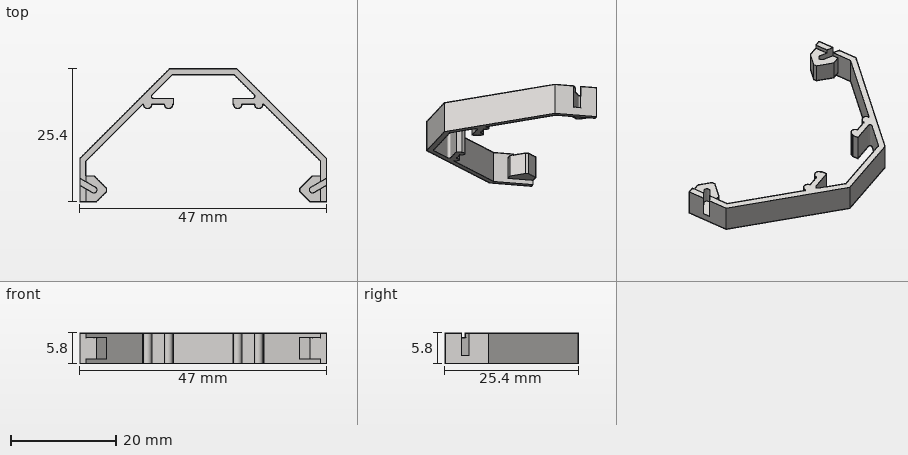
import cadquery as cq
import math

width = 47.0
depth = 25.4
height = 5.8
wall = 1.18
shoulder_y = 8.25

shelf_top_y = 19.75
shelf_end_x = -5.65
root_fillet = 0.38
bead_radius = 0.8
bead_centers_x = (-10.58, -6.6)

block_length = 5.0
block_reach = 5.1
tip_low_y = 1.97
tip_high_y = 2.6
block_inset = 0.85

slot_radius = 0.588
slot_depth = 4.25
slot_angle = 30.0
slot_end_x = 2.7
slot_end_y = 2.3

left = -width / 2
shelf_bottom_y = shelf_top_y - wall
slope_run = depth - shoulder_y
corner_shift = wall * math.tan(math.radians(22.5))
slope_wall_x = wall * math.sqrt(2)


def mirrored_pair(left_half):
    return left_half.union(left_half.mirror("YZ"))


def sloping_outer_x(y):
    """X of the left sloping outer face at a given Y."""
    return left + y - shoulder_y


def half_band():
    inner_y = depth - wall
    return (
        cq.Workplane("XY")
        .moveTo(left, 0)
        .lineTo(left, shoulder_y)
        .lineTo(left + slope_run, depth)
        .lineTo(0, depth)
        .lineTo(0, inner_y)
        .lineTo(left + slope_run + corner_shift, inner_y)
        .lineTo(left + wall, shoulder_y - corner_shift)
        .lineTo(left + wall, 0)
        .close()
        .extrude(height)
    )


def shelf():
    """Flat shelf rooted in the middle of the sloping wall."""
    return (
        cq.Workplane("XY")
        .moveTo(sloping_outer_x(shelf_bottom_y) + slope_wall_x / 2, shelf_bottom_y)
        .lineTo(shelf_end_x, shelf_bottom_y)
        .lineTo(shelf_end_x, shelf_top_y)
        .lineTo(sloping_outer_x(shelf_top_y) + slope_wall_x / 2, shelf_top_y)
        .close()
        .extrude(height)
    )


def beads():
    """Rounded beads along the front face of the shelf."""
    centers = [(x, shelf_bottom_y) for x in bead_centers_x]
    return cq.Workplane("XY").pushPoints(centers).circle(bead_radius).extrude(height)


def latch_block():
    tip_x = left + block_reach
    return (
        cq.Workplane("XY")
        .workplane(offset=block_inset)
        .moveTo(left, 0)
        .lineTo(tip_x - tip_low_y, 0)
        .lineTo(tip_x, tip_low_y)
        .lineTo(tip_x, tip_high_y)
        .lineTo(tip_x - (block_length - tip_high_y), block_length)
        .lineTo(left, block_length)
        .close()
        .extrude(height - 2 * block_inset)
    )


def slanted_slot():
    """Slot with a round inner end, running out through the outer face."""
    run = 2 * slot_end_x
    end = (left + slot_end_x, slot_end_y)
    center = (end[0] - run / 2 * math.cos(math.radians(slot_angle)),
              end[1] + run / 2 * math.sin(math.radians(slot_angle)))
    return (
        cq.Workplane("XY")
        .workplane(offset=height - slot_depth)
        .center(*center)
        .slot2D(run + 2 * slot_radius, 2 * slot_radius, -slot_angle)
        .extrude(slot_depth)
    )


root_x = sloping_outer_x(shelf_top_y) + slope_wall_x
root_edge = cq.selectors.NearestToPointSelector((root_x, shelf_top_y, height / 2))
left_half = half_band().union(shelf()).edges(root_edge).fillet(root_fillet)
left_half = left_half.union(beads()).union(latch_block()).cut(slanted_slot())

result = mirrored_pair(left_half)